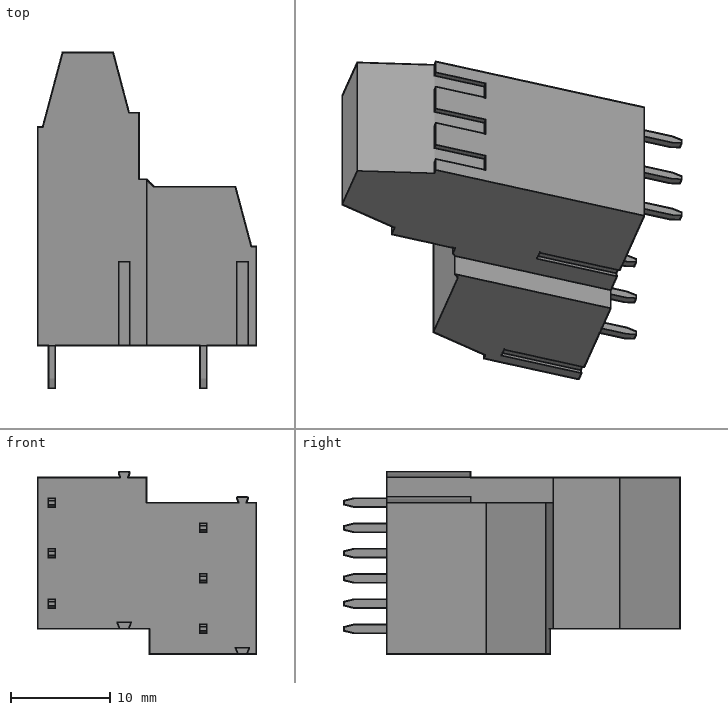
import cadquery as cq


pitch = 5.08
poles = 3
row_offset = pitch / 2
row_length = poles * pitch
tall_row_base = row_offset
short_row_base = 0.0

housing_width = 22.0
housing_height = 29.5
row_split_x = 10.95
row_gap = 0.3
crown_start_x = 2.5
crown_end_x = 7.6
outer_shoulder_width = 0.5
outer_shoulder_y = 22.0
inner_shoulder_start_x = 9.2
inner_shoulder_end_x = 10.2
inner_shoulder_y = 23.45
ledge_y = 16.75
ledge_chamfer = 0.75
short_row_height = ledge_y - ledge_chamfer
short_crown_end_x = 19.9
short_shoulder_x = housing_width - outer_shoulder_width
short_shoulder_y = 10.0

tall_dovetail_x = 8.7
short_dovetail_x = 20.6
dovetail_length = 8.45
rib_height = 0.57
rib_root_width = 0.8
rib_tip_width = 1.25
rib_edge_radius = 0.13
groove_depth = 0.65
groove_mouth_width = 0.9
groove_floor_width = 1.4

recess_width = 2.0
recess_depth = outer_shoulder_width
recess_bottom_y = ledge_y

tall_pin_x = 1.44
pin_row_spacing = row_length
pin_thickness = 0.7
pin_width = 0.9
pin_tip_width = 0.4
pin_length = 4.3
pin_taper_length = 1.0
pin_root = 1.0


def pole_heights(row_base):
    """Z positions of the poles in a row."""
    return [row_base + (i + 0.5) * pitch for i in range(poles)]


def extrude_profile(points, base_z):
    """Outline in XY, extruded over one row length from base_z."""
    return cq.Workplane("XY", origin=(0, 0, base_z)).polyline(points).close().extrude(row_length)


def tall_row():
    """Tall row with its tapered crown and the ledge on its inner side."""
    return extrude_profile(
        [
            (0, 0),
            (row_split_x, 0),
            (row_split_x, ledge_y),
            (inner_shoulder_end_x, ledge_y),
            (inner_shoulder_end_x, inner_shoulder_y),
            (inner_shoulder_start_x, inner_shoulder_y),
            (crown_end_x, housing_height),
            (crown_start_x, housing_height),
            (outer_shoulder_width, outer_shoulder_y),
            (0, outer_shoulder_y),
        ],
        tall_row_base,
    )


def short_row():
    """Short row, set back from the split plane where it hangs below the tall row."""
    body = extrude_profile(
        [
            (row_split_x, 0),
            (housing_width, 0),
            (housing_width, short_shoulder_y),
            (short_shoulder_x, short_shoulder_y),
            (short_crown_end_x, short_row_height),
            (row_split_x + ledge_chamfer, short_row_height),
            (row_split_x, ledge_y),
        ],
        short_row_base,
    )
    clearance = cq.Workplane("XY").box(
        row_split_x + row_gap, housing_height, row_offset, centered=False
    )
    return body.cut(clearance)


def dovetail(center_x, base_z, narrow_width, wide_width, height):
    """Bar along Y, widening upward from base_z."""
    return (
        cq.Workplane("XZ", origin=(center_x, 0, base_z))
        .polyline(
            [
                (-narrow_width / 2, 0),
                (narrow_width / 2, 0),
                (wide_width / 2, height),
                (-wide_width / 2, height),
            ]
        )
        .close()
        .extrude(-dovetail_length)
    )


def recess(center_z):
    """Shallow rectangular recess open toward -X and at the outer shoulder."""
    length = outer_shoulder_y - recess_bottom_y
    return cq.Workplane("XY", origin=(0, recess_bottom_y, center_z - recess_width / 2)).box(
        recess_depth, length, recess_width, centered=False
    )


def pin(center_x, center_z):
    """Flat pin whose end tapers in Z only."""
    taper_y = pin_taper_length - pin_length
    return (
        cq.Workplane("YZ", origin=(center_x, 0, center_z))
        .polyline(
            [
                (pin_root, -pin_width / 2),
                (pin_root, pin_width / 2),
                (taper_y, pin_width / 2),
                (-pin_length, pin_tip_width / 2),
                (-pin_length, -pin_tip_width / 2),
                (taper_y, -pin_width / 2),
            ]
        )
        .close()
        .extrude(pin_thickness / 2, both=True)
    )


result = tall_row().union(short_row())

for row_base, dovetail_x in (
    (tall_row_base, tall_dovetail_x),
    (short_row_base, short_dovetail_x),
):
    rib = dovetail(dovetail_x, row_base + row_length, rib_root_width, rib_tip_width, rib_height)
    rib = rib.faces(">Z").edges("|Y").fillet(rib_edge_radius)
    groove = dovetail(dovetail_x, row_base, groove_mouth_width, groove_floor_width, groove_depth)
    result = result.union(rib).cut(groove)

for z in pole_heights(tall_row_base):
    result = result.cut(recess(z)).union(pin(tall_pin_x, z))

for z in pole_heights(short_row_base):
    result = result.union(pin(tall_pin_x + pin_row_spacing, z))